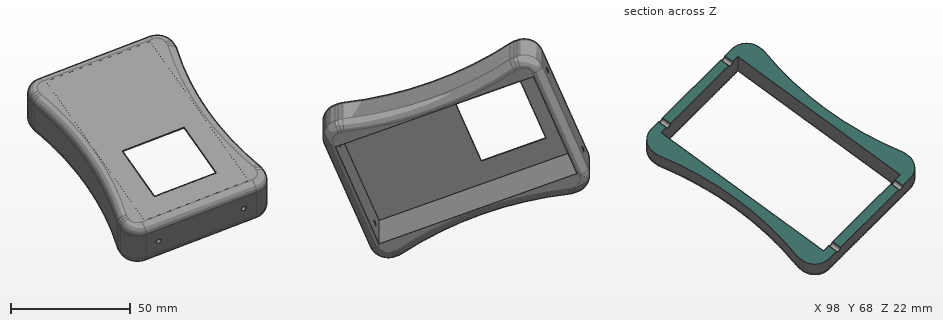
import cadquery as cq

length = 98.0
width = 68.0
height = 22.0
corner_radius = 8.0
rim_radius = 4.0

grip_half_length = 38.5
grip_depth = 5.0

wall = 4.5
roof = 0.5
cavity_length = length - 2 * wall
cavity_width = width - 2 * (grip_depth + wall)

window_size = 29.0
window_x = 20.0

hole_diameter = 2.4
hole_y = 20.0

half_length = length / 2
half_width = width / 2
half_height = height / 2


def make_body():
    """Block with concave long sides, rounded corners and rounded rims."""
    grip_y = half_width - grip_depth
    outline = (
        cq.Workplane("XY", origin=(0, 0, -half_height))
        .moveTo(-half_length, -half_width)
        .lineTo(-grip_half_length, -half_width)
        .threePointArc((0, -grip_y), (grip_half_length, -half_width))
        .lineTo(half_length, -half_width)
        .lineTo(half_length, half_width)
        .lineTo(grip_half_length, half_width)
        .threePointArc((0, grip_y), (-grip_half_length, half_width))
        .lineTo(-half_length, half_width)
        .close()
    )
    block = outline.extrude(height).edges("|Z").fillet(corner_radius)
    return block.faces("<Z or >Z").edges().fillet(rim_radius)


def make_cavity():
    """Rectangular pocket that leaves only the walls and the roof."""
    return (
        cq.Workplane("XY", origin=(0, 0, -half_height))
        .rect(cavity_length, cavity_width)
        .extrude(height - roof)
    )


def make_window():
    """Square cutter that opens the roof into the cavity."""
    return (
        cq.Workplane("XY", origin=(window_x, 0, 0))
        .rect(window_size, window_size)
        .extrude(half_height)
    )


def make_end_holes():
    """Two parallel cutters that run the full length through both end walls."""
    return (
        cq.Workplane("YZ", origin=(-half_length, 0, 0))
        .pushPoints([(-hole_y, 0), (hole_y, 0)])
        .circle(hole_diameter / 2)
        .extrude(length)
    )


result = make_body().cut(make_cavity()).cut(make_window()).cut(make_end_holes())